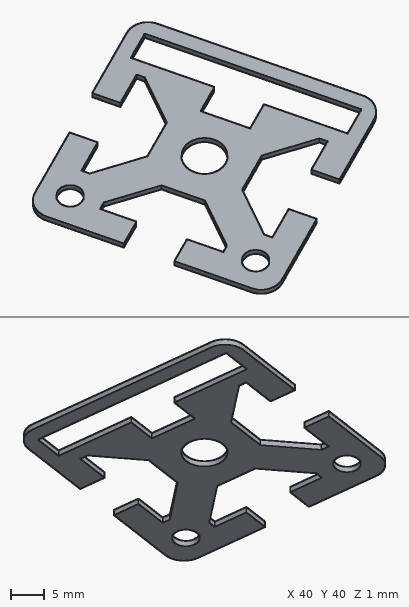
import cadquery as cq

side = 40.0
thickness = 1.0
corner_radius = 3.4
half_side = side / 2

mouth_half_width = 4.1
lip_thickness = 4.55
cavity_half_width = 9.95
shoulder_depth = 1.3
floor_distance = 7.7

center_hole_diameter = 6.8
corner_hole_diameter = 4.1
corner_hole_offset = 15.0

border = 2.5
window_height = 5.0
notch_width = 8.0
notch_depth = 5.0


def make_plate():
    plate = cq.Workplane("XY").box(side, side, thickness, centered=(True, True, False))
    return plate.edges("|Z").fillet(corner_radius)


def make_slot(angle):
    """T-slot opening through the +X edge, turned about the plate centre."""
    lip_x = half_side - lip_thickness
    shoulder_x = lip_x - shoulder_depth
    floor_half_width = cavity_half_width - (shoulder_x - floor_distance)
    upper_half = [
        (floor_distance, floor_half_width),
        (shoulder_x, cavity_half_width),
        (lip_x, cavity_half_width),
        (lip_x, mouth_half_width),
        (half_side, mouth_half_width),
    ]
    lower_half = [(x, -y) for x, y in reversed(upper_half)]
    slot = cq.Workplane("XY").polyline(upper_half + lower_half).close().extrude(thickness)
    return slot.rotate((0, 0, 0), (0, 0, 1), angle)


def make_holes():
    center = cq.Workplane("XY").circle(center_hole_diameter / 2).extrude(thickness)
    corners = (
        cq.Workplane("XY")
        .pushPoints([(x, -corner_hole_offset) for x in (-corner_hole_offset, corner_hole_offset)])
        .circle(corner_hole_diameter / 2)
        .extrude(thickness)
    )
    return center.union(corners)


def make_window():
    top = half_side - border
    window = (
        cq.Workplane("XY")
        .center(0, top - window_height / 2)
        .rect(side - 2 * border, window_height)
        .extrude(thickness)
    )
    opening_height = window_height + notch_depth
    notch = (
        cq.Workplane("XY")
        .center(0, top - opening_height / 2)
        .rect(notch_width, opening_height)
        .extrude(thickness)
    )
    return window.union(notch)


result = make_plate().cut(make_holes()).cut(make_window())
for slot_angle in (0, 180, 270):
    result = result.cut(make_slot(slot_angle))